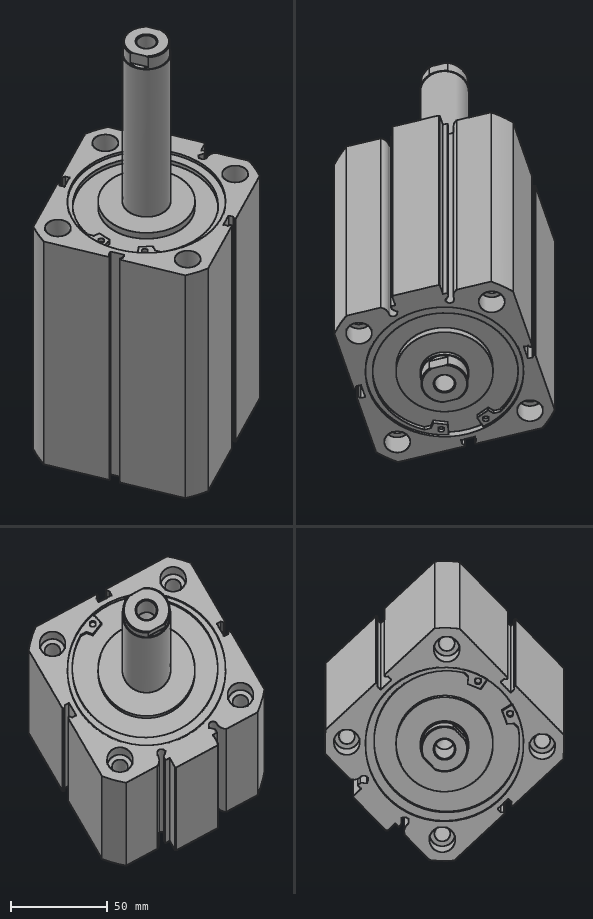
import cadquery as cq
import math


housing_width = 96.5
housing_height = 153.2
corner_radius = 62.0
half_width = housing_width / 2

overall_depth = 102.0
rail_top = overall_depth - half_width
rail_half_width = 12.9
rail_edge_chamfer = 0.5
lip_half_width = 15.3
lip_top = 47.5
lip_bottom = 45.7
groove_centre = (15.3, 43.2)
groove_radius = 2.2
flare_half_width = 20.5

slot_opening = 5.5
slot_mouth_chamfer = 0.3
slot_inner_width = 7.7
slot_lip = 1.0
slot_shoulder = 2.0
slot_depth = 4.5

bolt_spacing = 71.7
bolt_hole_diameter = 8.2
bolt_head_diameter = 13.5
bolt_head_depth = 13.7

bore_diameter = 82.0
cover_thickness = 13.7
boss_diameter = 50.3
boss_height = 4.0

ring_thickness = 2.5
ring_inner_radius = 37.7
ring_offset = 1.6
lug_neck = (17.0, -33.5)
lug_tip = (14.8, -30.5)
lug_end = (8.0, -33.6)
lug_foot_x = 9.3
lug_hole_at = (12.0, -35.5)
lug_hole_diameter = 3.3

total_length = 273.5
rod_diameter = 25.2
rod_bottom = -10.7
neck_diameter = 24.3
neck_length = 8.5
neck_chamfer = 0.5
flat_spacing = 22.2
flat_length = 7.0
tapped_hole_diameter = 10.5
tapped_hole_depth = 22.0
tapped_hole_chamfer = 0.5
drill_point_angle = 118
rod_top = rod_bottom + total_length


def opposite_end(shape):
    """The same shape at the other end of the housing, mirrored about its middle."""
    return shape.mirror("XY", (0, 0, housing_height / 2))


def cylinder(diameter, bottom, top):
    return cq.Workplane("XY").workplane(offset=bottom).circle(diameter / 2).extrude(top - bottom)


def make_t_slot():
    """Cutter for the T-slot on the -Y side."""
    half_opening = slot_opening / 2
    half_mouth = half_opening + slot_mouth_chamfer
    half_inside = slot_inner_width / 2
    face = -half_width
    right_edge = [
        (half_mouth, face),
        (half_opening, face + slot_mouth_chamfer),
        (half_opening, face + slot_lip),
        (half_inside, face + slot_shoulder),
        (half_inside, face + slot_depth),
    ]
    left_edge = [(-x, y) for x, y in reversed(right_edge)]
    return cq.Workplane("XY").polyline(right_edge + left_edge).close().extrude(housing_height)


def make_rail():
    """Rail with a lip along each foot, standing on the +Y side."""
    rail_foot = groove_centre[1]
    rail = (
        cq.Workplane("XY")
        .moveTo(0, (rail_foot + rail_top) / 2)
        .rect(2 * rail_half_width, rail_top - rail_foot)
        .extrude(housing_height)
        .edges("|Z and >Y")
        .chamfer(rail_edge_chamfer)
    )
    lips = (
        cq.Workplane("XY")
        .polyline([
            (-lip_half_width, lip_top),
            (lip_half_width, lip_top),
            (lip_half_width, lip_bottom),
            (rail_half_width, rail_foot),
            (-rail_half_width, rail_foot),
            (-lip_half_width, lip_bottom),
        ])
        .close()
        .extrude(housing_height)
    )
    return rail.union(lips)


def make_rail_clearance():
    """Cutter for the flared gap and the two round-bottomed grooves around the rail."""
    centre_x, centre_y = groove_centre
    outer_x = centre_x + groove_radius
    inner_x = centre_x - groove_radius
    right_side = (
        cq.Workplane("XY")
        .moveTo(0, centre_y)
        .lineTo(inner_x, centre_y)
        .threePointArc((centre_x, centre_y - groove_radius), (outer_x, centre_y))
        .tangentArcPoint((flare_half_width, half_width), relative=False)
        .lineTo(0, half_width)
        .close()
        .extrude(housing_height)
    )
    return right_side.union(right_side.mirror("YZ"))


def make_housing():
    body = cq.Workplane("XY").rect(housing_width, housing_width).extrude(housing_height)
    body = body.intersect(cylinder(2 * corner_radius, 0, housing_height))
    body = body.cut(make_rail_clearance()).union(make_rail())

    slot = make_t_slot()
    for angle in (-90, 0, 90):
        body = body.cut(slot.rotate((0, 0, 0), (0, 0, 1), angle))

    bolt_grid = cq.Workplane("XY").rect(bolt_spacing, bolt_spacing, forConstruction=True).vertices()
    body = body.cut(bolt_grid.circle(bolt_hole_diameter / 2).extrude(housing_height))
    bolt_heads = bolt_grid.circle(bolt_head_diameter / 2).extrude(bolt_head_depth)
    body = body.cut(bolt_heads).cut(opposite_end(bolt_heads))

    cover_recess = cylinder(bore_diameter, housing_height - cover_thickness, housing_height)
    body = body.cut(cover_recess).cut(opposite_end(cover_recess))
    return body.cut(cylinder(rod_diameter, 0, housing_height))


def make_cover():
    """Top cover: a disc with a boss flush with the end of the housing and a hole for the rod."""
    underside = housing_height - cover_thickness
    disc = cylinder(bore_diameter, underside, housing_height - boss_height)
    boss = cylinder(boss_diameter, underside, housing_height)
    return disc.union(boss).cut(cylinder(rod_diameter, underside, housing_height))


def make_snap_ring():
    """Top snap ring, lying on the disc of the cover against the wall of the bore."""
    def mirrored(point):
        return (-point[0], point[1])

    bore_radius = bore_diameter / 2
    lug_foot = (lug_foot_x, -math.sqrt(bore_radius**2 - lug_foot_x**2))
    root_y = lug_neck[1]
    lug_root = (math.sqrt(ring_inner_radius**2 - (root_y + ring_offset) ** 2), root_y)
    inner_top = (0, ring_inner_radius - ring_offset)
    ring = (
        cq.Workplane("XY")
        .workplane(offset=housing_height - boss_height)
        .moveTo(*lug_foot)
        .threePointArc((0, bore_radius), mirrored(lug_foot))
        .lineTo(*mirrored(lug_end))
        .lineTo(*mirrored(lug_tip))
        .lineTo(*mirrored(lug_neck))
        .lineTo(*mirrored(lug_root))
        .threePointArc(inner_top, lug_root)
        .lineTo(*lug_neck)
        .lineTo(*lug_tip)
        .lineTo(*lug_end)
        .close()
        .extrude(ring_thickness)
    )
    lug_holes = (
        cq.Workplane("XY")
        .pushPoints([lug_hole_at, mirrored(lug_hole_at)])
        .circle(lug_hole_diameter / 2)
        .extrude(housing_height)
    )
    return ring.cut(lug_holes)


def make_tapped_hole():
    """Cutter for the hole in the top end of the rod: chamfered mouth and conical drill point."""
    radius = tapped_hole_diameter / 2
    point_depth = radius / math.tan(math.radians(drill_point_angle / 2))
    floor = rod_top - tapped_hole_depth
    return (
        cq.Workplane("XZ")
        .polyline([
            (0, rod_top),
            (radius + tapped_hole_chamfer, rod_top),
            (radius, rod_top - tapped_hole_chamfer),
            (radius, floor),
            (0, floor - point_depth),
        ])
        .close()
        .revolve(360, (0, 0, 0), (0, 1, 0))
    )


def make_wrench_flats():
    """Cutter for the two flats on the top neck of the rod, each running out on a 45 degree slope."""
    flat_y = flat_spacing / 2
    outer_y = neck_diameter / 2
    flat_bottom = rod_top - flat_length
    back_flat = (
        cq.Workplane("YZ")
        .polyline([
            (flat_y, rod_top),
            (flat_y, flat_bottom),
            (outer_y, flat_bottom - (outer_y - flat_y)),
            (outer_y, rod_top),
        ])
        .close()
        .extrude(neck_diameter / 2, both=True)
    )
    return back_flat.union(back_flat.mirror("XZ"))


def make_rod():
    """Rod through the whole cylinder, with the same neck, flats and hole at both ends."""
    rod = cylinder(rod_diameter, rod_bottom + neck_length, rod_top - neck_length)
    necks = cylinder(neck_diameter, rod_bottom, rod_top).faces("<Z or >Z").chamfer(neck_chamfer)
    rod = rod.union(necks)
    end_cut = make_tapped_hole().union(make_wrench_flats())
    middle = (0, 0, (rod_bottom + rod_top) / 2)
    return rod.cut(end_cut).cut(end_cut.mirror("XY", middle))


housing = make_housing()
top_cover = make_cover()
top_ring = make_snap_ring()
covers = [top_cover, opposite_end(top_cover)]
snap_rings = [top_ring, opposite_end(top_ring)]
rod = make_rod()

result = cq.Compound.makeCompound([
    housing.val(),
    *[cover.val() for cover in covers],
    *[ring.val() for ring in snap_rings],
    rod.val(),
])